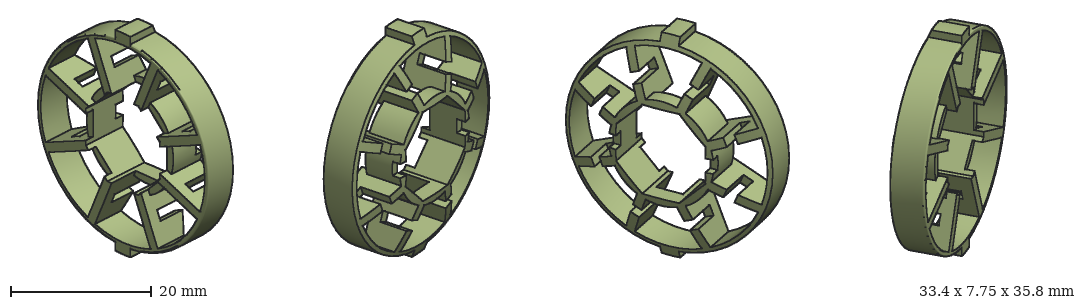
import cadquery as cq
import math

total_depth = 7.75
ring_radius = 16.68
ring_bore_radius = 15.95
front_fillet = 0.25
tab_radius = 17.9
tab_width = 3.0
hub_radius = 8.45
hub_flat_to_flat = 14.4
dome_radius = 45.0
spoke_count = 8
spoke_width = 1.5
spoke_slot_inner_radius = 10.8
spoke_slot_width = 1.7
spoke_slot_floor = 2.0
hub_front_recess = 1.5
deep_recess = 5.0
side_notch_width = 2.25
side_notch_depth = 1.55

sector_angle = 360 / spoke_count
hub_apothem = hub_flat_to_flat / 2
bore_corner_diameter = hub_flat_to_flat / math.cos(math.radians(sector_angle / 2))
dome_center = total_depth - math.sqrt(dome_radius**2 - hub_apothem**2)


def cylinder(radius, start=0.0):
    """Solid cylinder about Y from the given start to the rear."""
    plane = cq.Workplane("XZ", origin=(0, start, 0))
    return plane.circle(radius).extrude(start - total_depth)


def block(x_range, y_range, width, angle=0.0):
    """Block centred on a radial line, turned about Y from +X towards +Z."""
    size_x = x_range[1] - x_range[0]
    size_y = y_range[1] - y_range[0]
    solid = cq.Workplane("XY").box(size_x, size_y, width, centered=(False, False, True))
    solid = solid.translate((x_range[0], y_range[0], 0))
    return solid.rotate((0, 0, 0), (0, 1, 0), -angle)


def make_rim():
    """Outer ring with a rounded front edge and two opposite locating tabs."""
    rim = cylinder(ring_radius).faces("<Y").edges().fillet(front_fillet)
    tabs = cylinder(tab_radius).intersect(
        cq.Workplane("XY").box(tab_width, 2 * total_depth, 2 * tab_radius)
    )
    return rim.union(tabs).cut(cylinder(ring_bore_radius))


def make_hub():
    """Hub set back from the front, deeper behind its top and bottom walls."""
    hub = cylinder(hub_radius, hub_front_recess)
    wall_width = 2 * hub_apothem * math.tan(math.radians(sector_angle / 2))
    for angle in (90, 270):
        hub = hub.cut(block((0, hub_radius), (0, deep_recess), wall_width, angle))
    return hub


def make_spoke(angle):
    """Radial web with a slot open to the rear."""
    web_end = (ring_radius + ring_bore_radius) / 2
    slot_end = spoke_slot_inner_radius + spoke_slot_width
    web = block((0, web_end), (0, total_depth), spoke_width, angle)
    slot_length = (spoke_slot_inner_radius, slot_end)
    slot = block(slot_length, (spoke_slot_floor, total_depth), 2 * spoke_width, angle)
    return web.cut(slot)


result = make_rim().union(make_hub())
for index in range(spoke_count):
    result = result.union(make_spoke((index + 0.5) * sector_angle))

bore = cq.Workplane("XZ").polygon(spoke_count, bore_corner_diameter).extrude(-total_depth)
result = result.cut(bore.rotate((0, 0, 0), (0, 1, 0), sector_angle / 2))

notch_depths = (total_depth - side_notch_depth, total_depth)
for angle in (0, 180):
    result = result.cut(block((0, hub_radius), notch_depths, side_notch_width, angle))

result = result.intersect(cq.Workplane("XY").sphere(dome_radius).translate((0, dome_center, 0)))